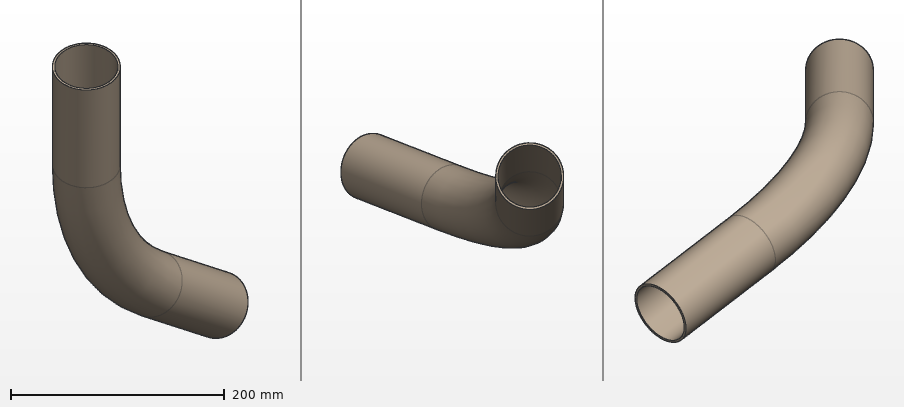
import cadquery as cq
import math

overall_height = 455.0
outer_diameter = 63.5
inner_diameter = 59.0
leg_length = 126.5
bend_angle = 45.0
slope = math.radians(bend_angle)

legs_height = leg_length * (1 + math.cos(slope))
rim_drop = outer_diameter / 2 * math.sin(slope)
bend_radius = (overall_height - legs_height - rim_drop) / math.sin(slope)


def bend_point(angle_degrees):
    """Centreline point (Y, Z) of the bend, measured from its upper end at the origin."""
    angle = math.radians(angle_degrees)
    return (bend_radius * (1 - math.cos(angle)), -bend_radius * math.sin(angle))


bend_end = bend_point(bend_angle)
leg_end = (
    bend_end[0] + leg_length * math.sin(slope),
    bend_end[1] - leg_length * math.cos(slope),
)
centreline = (
    cq.Workplane("YZ")
    .moveTo(0, leg_length)
    .lineTo(0, 0)
    .threePointArc(bend_point(bend_angle / 2), bend_end)
    .lineTo(*leg_end)
)

result = (
    cq.Workplane("XY", origin=(0, 0, leg_length))
    .circle(outer_diameter / 2)
    .circle(inner_diameter / 2)
    .sweep(centreline)
)